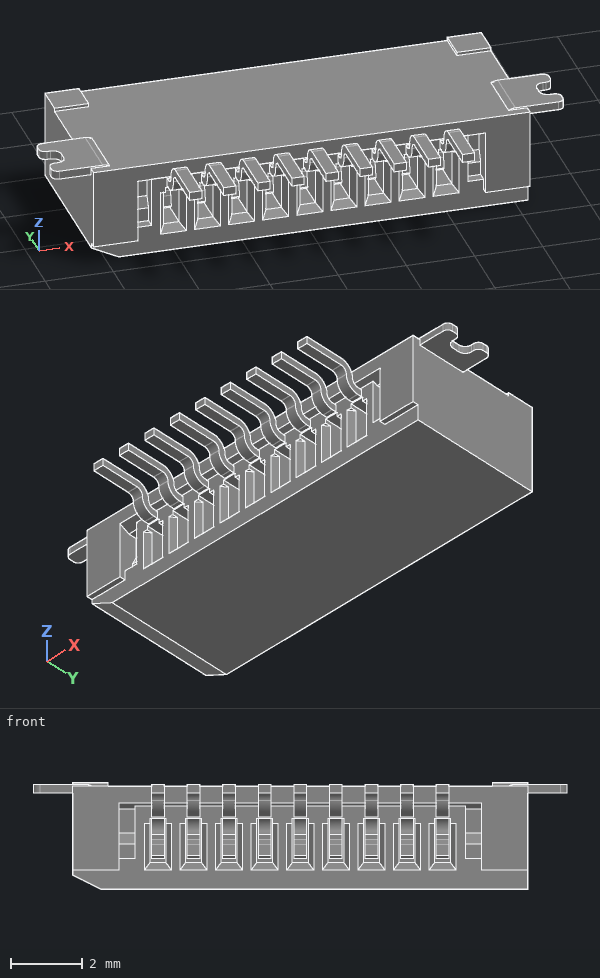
import cadquery as cq
import math


HOUSING_LENGTH = 12.8
HOUSING_DEPTH = 4.8
HOUSING_TOP = 2.9
CORNER_CUT_LENGTH = 0.8
CORNER_CUT_HEIGHT = 0.4
STANDOFF_LENGTH = 1.0
STANDOFF_DEPTH = 0.95
STANDOFF_TOP = 3.0

FRAME_DEPTH = 0.2
FRAME_BOTTOM = 0.54
OPENING_HALF_LENGTH = 5.1
OPENING_TOP = 2.43

POCKET_LENGTH = 0.46
POCKET_FLOOR = 0.86
POCKET_LOWER_DEPTH = 0.5
POCKET_UPPER_DEPTH = 0.65
POCKET_SLOPE_BOTTOM = 1.27
POCKET_SLOPE_TOP = 1.58
POCKET_TOP = 2.26
CEILING_SLOPE_DEPTH = 0.36
CEILING_SLOPE = (OPENING_TOP - POCKET_TOP) / CEILING_SLOPE_DEPTH

TERMINAL_COUNT = 9
PITCH = 1.0
CAVITY_WIDTH = 0.45
CAVITY_BOTTOM = 0.75
CAVITY_TOP = 1.99
CAVITY_END = 1.5
LEAD_IN_WIDTH = 0.76
LEAD_IN_DEPTH = 0.2
LEAD_IN_TOP = 1.85

TERMINAL_WIDTH = 0.36
METAL_THICKNESS = 0.25
METAL_TOP = 2.95
LEAD_REACH = 2.0
BEND_INNER_RADIUS = 0.21
BEND_OUTER_RADIUS = BEND_INNER_RADIUS + METAL_THICKNESS
UPPER_BEND_Y = -0.62
BEND_Z = METAL_TOP - BEND_OUTER_RADIUS
LOWER_BEND_Y = UPPER_BEND_Y + BEND_INNER_RADIUS + BEND_OUTER_RADIUS
ARM_TOP = BEND_Z - BEND_INNER_RADIUS
ARM_BOTTOM = BEND_Z - BEND_OUTER_RADIUS
HEEL_EMBEDMENT = 0.2
HEEL_END = CAVITY_END + HEEL_EMBEDMENT
NOSE_TOP = 1.54
THROAT_Y = 0.9
THROAT_SWEEP = math.radians(135)
THROAT_RADIUS = (ARM_BOTTOM - NOSE_TOP) / (1 - math.cos(THROAT_SWEEP))
THROAT_Z = ARM_BOTTOM - THROAT_RADIUS
NOSE_MIDDLE = 1.40
NOSE_BOTTOM = 1.26
NOSE_ADVANCE = 0.04
TOE_ADVANCE = 0.1
TOE_BOTTOM = 0.95
TOE_CHAMFER = 0.08

TAB_TIP = 7.5
TAB_BEND_X = 6.05
TAB_END = 5.85
TAB_WIDTH = 1.74
TAB_CENTRE_Y = 1.14
TAB_CORNER_RADIUS = 0.18
TAB_NOTCH_WIDTH = 0.73
TAB_NOTCH_DEPTH = 0.53
TAB_NOTCH_RADIUS = 0.25


def box(x_range, y_range, z_range):
    """Box spanning the given (low, high) ranges."""
    size = [high - low for low, high in (x_range, y_range, z_range)]
    corner = (x_range[0], y_range[0], z_range[0])
    return cq.Workplane("XY").box(*size, centered=False).translate(corner)


def mirrored_pair(solid):
    """A solid together with its mirror image across the YZ plane."""
    return solid.union(solid.mirror("YZ"))


def make_block():
    """Main block with one bottom edge cut away, plus the two rear stand-offs."""
    half = HOUSING_LENGTH / 2
    block = (
        cq.Workplane("XZ", origin=(0, FRAME_DEPTH, 0))
        .moveTo(-half + CORNER_CUT_LENGTH, 0)
        .lineTo(half, 0)
        .lineTo(half, HOUSING_TOP)
        .lineTo(-half, HOUSING_TOP)
        .lineTo(-half, CORNER_CUT_HEIGHT)
        .close()
        .extrude(FRAME_DEPTH - HOUSING_DEPTH)
    )
    standoff = box(
        (half - STANDOFF_LENGTH, half),
        (HOUSING_DEPTH - STANDOFF_DEPTH, HOUSING_DEPTH),
        (CORNER_CUT_HEIGHT, STANDOFF_TOP),
    )
    return block.union(mirrored_pair(standoff))


def make_frame():
    """Frame open at the bottom, whose opening has a ceiling sloping down inward."""
    half = HOUSING_LENGTH / 2
    frame = box((-half, half), (0, FRAME_DEPTH), (FRAME_BOTTOM, HOUSING_TOP))
    opening = (
        cq.Workplane("YZ", origin=(-OPENING_HALF_LENGTH, 0, 0))
        .moveTo(0, FRAME_BOTTOM)
        .lineTo(FRAME_DEPTH, FRAME_BOTTOM)
        .lineTo(FRAME_DEPTH, OPENING_TOP - CEILING_SLOPE * FRAME_DEPTH)
        .lineTo(0, OPENING_TOP)
        .close()
        .extrude(2 * OPENING_HALF_LENGTH)
    )
    return frame.cut(opening)


def make_end_pocket():
    """Pocket at the +X end of the opening, deeper above its sloped step."""
    return (
        cq.Workplane("YZ", origin=(OPENING_HALF_LENGTH - POCKET_LENGTH, 0, 0))
        .moveTo(FRAME_DEPTH, POCKET_FLOOR)
        .lineTo(POCKET_LOWER_DEPTH, POCKET_FLOOR)
        .lineTo(POCKET_LOWER_DEPTH, POCKET_SLOPE_BOTTOM)
        .lineTo(POCKET_UPPER_DEPTH, POCKET_SLOPE_TOP)
        .lineTo(POCKET_UPPER_DEPTH, POCKET_TOP)
        .lineTo(CEILING_SLOPE_DEPTH, POCKET_TOP)
        .lineTo(FRAME_DEPTH, OPENING_TOP - CEILING_SLOPE * FRAME_DEPTH)
        .close()
        .extrude(POCKET_LENGTH)
    )


def make_cavity():
    """Terminal cavity with a lead-in flared at its sides and bottom."""
    half = CAVITY_WIDTH / 2
    cavity = box((-half, half), (FRAME_DEPTH, CAVITY_END), (CAVITY_BOTTOM, CAVITY_TOP))
    mouth_height = LEAD_IN_TOP - FRAME_BOTTOM
    throat_height = LEAD_IN_TOP - CAVITY_BOTTOM
    lead_in = (
        cq.Workplane("XZ", origin=(0, FRAME_DEPTH, 0))
        .center(0, LEAD_IN_TOP - mouth_height / 2)
        .rect(LEAD_IN_WIDTH, mouth_height)
        .workplane(offset=-LEAD_IN_DEPTH)
        .center(0, (mouth_height - throat_height) / 2)
        .rect(CAVITY_WIDTH, throat_height)
        .loft(ruled=True)
    )
    return cavity.union(lead_in)


def make_terminal():
    """S-bent solder lead continuing into a C-shaped contact inside the cavity."""
    diagonal = math.sqrt(0.5)
    inner_offset = BEND_INNER_RADIUS * diagonal
    outer_offset = BEND_OUTER_RADIUS * diagonal
    nose_y = THROAT_Y + THROAT_RADIUS * math.sin(THROAT_SWEEP)
    toe_y = nose_y - TOE_ADVANCE
    return (
        cq.Workplane("YZ", origin=(-TERMINAL_WIDTH / 2, 0, 0))
        .moveTo(-LEAD_REACH, METAL_TOP)
        .lineTo(UPPER_BEND_Y, METAL_TOP)
        .threePointArc(
            (UPPER_BEND_Y + outer_offset, BEND_Z + outer_offset),
            (UPPER_BEND_Y + BEND_OUTER_RADIUS, BEND_Z),
        )
        .threePointArc(
            (LOWER_BEND_Y - inner_offset, BEND_Z - inner_offset),
            (LOWER_BEND_Y, ARM_TOP),
        )
        .lineTo(HEEL_END, ARM_TOP)
        .lineTo(HEEL_END, TOE_BOTTOM - TOE_CHAMFER)
        .lineTo(toe_y + TOE_CHAMFER, TOE_BOTTOM - TOE_CHAMFER)
        .lineTo(toe_y, TOE_BOTTOM)
        .lineTo(nose_y - NOSE_ADVANCE, NOSE_BOTTOM)
        .lineTo(nose_y, NOSE_MIDDLE)
        .lineTo(nose_y, NOSE_TOP)
        .threePointArc(
            (
                THROAT_Y + THROAT_RADIUS * math.sin(THROAT_SWEEP / 2),
                THROAT_Z + THROAT_RADIUS * math.cos(THROAT_SWEEP / 2),
            ),
            (THROAT_Y, ARM_BOTTOM),
        )
        .lineTo(LOWER_BEND_Y, ARM_BOTTOM)
        .threePointArc(
            (LOWER_BEND_Y - outer_offset, BEND_Z - outer_offset),
            (LOWER_BEND_Y - BEND_OUTER_RADIUS, BEND_Z),
        )
        .threePointArc(
            (UPPER_BEND_Y + inner_offset, BEND_Z + inner_offset),
            (UPPER_BEND_Y, METAL_TOP - METAL_THICKNESS),
        )
        .lineTo(-LEAD_REACH, METAL_TOP - METAL_THICKNESS)
        .close()
        .extrude(TERMINAL_WIDTH)
    )


def make_tab():
    """Solder tab at the +X end: notched tip, inner end curving into the housing."""
    tab_bottom = METAL_TOP - METAL_THICKNESS
    run = TAB_BEND_X - TAB_END
    drop = METAL_TOP - HOUSING_TOP
    bend_radius = (run**2 + drop**2) / (2 * drop)
    half_run_drop = bend_radius - math.sqrt(bend_radius**2 - (run / 2) ** 2)
    tab = (
        cq.Workplane("XZ", origin=(0, TAB_CENTRE_Y + TAB_WIDTH / 2, 0))
        .moveTo(TAB_TIP, tab_bottom)
        .lineTo(TAB_TIP, METAL_TOP)
        .lineTo(TAB_BEND_X, METAL_TOP)
        .threePointArc(
            (TAB_BEND_X - run / 2, METAL_TOP - half_run_drop),
            (TAB_END, HOUSING_TOP),
        )
        .lineTo(TAB_END, tab_bottom)
        .close()
        .extrude(TAB_WIDTH)
    )
    notch_half = TAB_NOTCH_WIDTH / 2
    notch = box(
        (TAB_TIP - TAB_NOTCH_DEPTH, TAB_TIP),
        (TAB_CENTRE_Y - notch_half, TAB_CENTRE_Y + notch_half),
        (tab_bottom, METAL_TOP),
    )
    notch = notch.edges("|Z and <X").fillet(TAB_NOTCH_RADIUS)
    return tab.cut(notch).edges("|Z and >X").fillet(TAB_CORNER_RADIUS)


result = make_block().union(make_frame()).cut(mirrored_pair(make_end_pocket()))

for index in range(TERMINAL_COUNT):
    terminal_x = (index - (TERMINAL_COUNT - 1) / 2) * PITCH
    result = result.cut(make_cavity().translate((terminal_x, 0, 0)))
    result = result.union(make_terminal().translate((terminal_x, 0, 0)))

result = result.union(mirrored_pair(make_tab()))